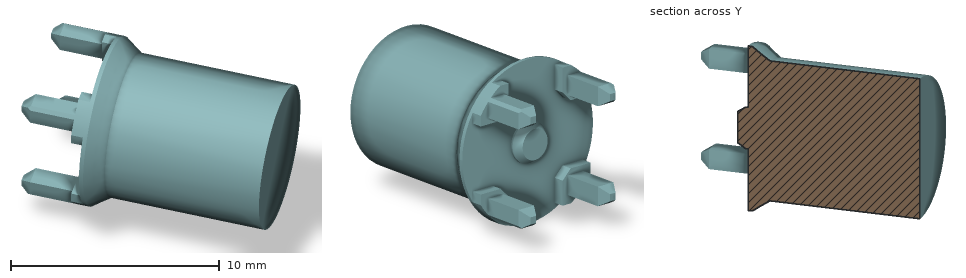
import cadquery as cq

total_length = 12.08
pin_taper_end = 0.52
foot_face = 2.7
boss_face = 2.74
boss_cone_end = 3.16
flange_face = 3.29
flange_rim_end = 3.49
flange_cone_end = 4.4

flange_radius = 4.174
barrel_radius = 3.55
boss_radius = 1.06
boss_tip_radius = 0.8

pin_offset = 2.54
pin_width = 0.99
pin_tip_width = 0.36
foot_inner = 1.73
foot_outer = 3.5
foot_chamfer = 0.51


def make_body():
    """Barrel, flared flange and central boss revolved about X."""
    profile = [
        (boss_face, 0),
        (boss_face, boss_tip_radius),
        (boss_cone_end, boss_radius),
        (flange_face, boss_radius),
        (flange_face, flange_radius),
        (flange_rim_end, flange_radius),
        (flange_cone_end, barrel_radius),
        (total_length, barrel_radius),
        (total_length, 0),
    ]
    return cq.Workplane("XY").polyline(profile).close().revolve(360, (0, 0, 0), (1, 0, 0))


def make_foot():
    """Square foot whose corner nearest the axis is chamfered."""
    outline = [
        (foot_inner + foot_chamfer, foot_inner),
        (foot_outer, foot_inner),
        (foot_outer, foot_outer),
        (foot_inner, foot_outer),
        (foot_inner, foot_inner + foot_chamfer),
    ]
    depth = flange_rim_end - foot_face
    return cq.Workplane("YZ", origin=(foot_face, 0, 0)).polyline(outline).close().extrude(depth)


def make_pin():
    """Square pin with a pyramidal tip, embedded in the flange."""
    tip = (
        cq.Workplane("YZ", origin=(0, pin_offset, pin_offset))
        .rect(pin_tip_width, pin_tip_width)
        .workplane(offset=pin_taper_end)
        .rect(pin_width, pin_width)
        .loft(ruled=True)
    )
    shank = (
        cq.Workplane("YZ", origin=(pin_taper_end, pin_offset, pin_offset))
        .rect(pin_width, pin_width)
        .extrude(flange_rim_end - pin_taper_end)
    )
    return tip.union(shank)


rim_cylinder = cq.Workplane("YZ").circle(flange_radius).extrude(flange_rim_end)
terminal = make_foot().union(make_pin()).intersect(rim_cylinder)

result = make_body()
for angle in (0, 90, 180, 270):
    result = result.union(terminal.rotate((0, 0, 0), (1, 0, 0), angle))